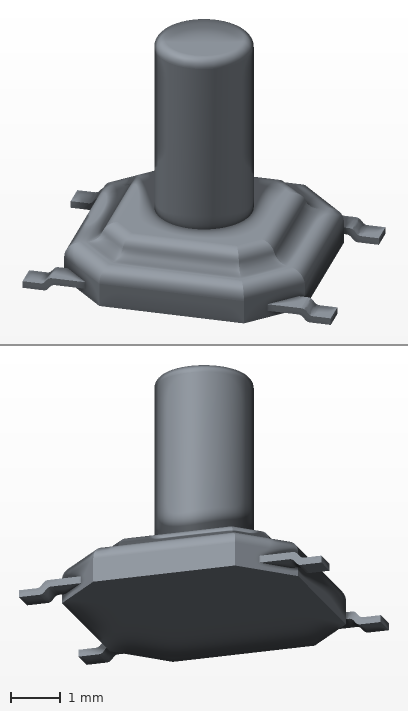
import cadquery as cq
import math

overall_length = 6.4
overall_height = 5.0
housing_width = 5.0
corner_cut = 1.0

wall_height = 0.5
shoulder_height = 0.8
housing_height = 1.2
top_inset = 1.0
arc_radius = 0.3

button_diameter = 2.0
button_edge_radius = 0.2

lead_thickness = 0.15
lead_inner_y = 1.6
lead_outer_y = 2.11
lead_root_x = 1.6
lead_rise = 0.15
foot_length = 0.365
ramp_run = 0.25
underside_shift = 0.065


def stepped_prism(half_width, angle):
    """Long prism with the stepped profile on both flanks, turned about Z."""
    step_half_height = (housing_height - shoulder_height) / 2
    turn = math.acos(1 - step_half_height / arc_radius)
    arc_run = arc_radius * math.sin(turn)
    mid_run = arc_radius * math.sin(turn / 2)
    mid_drop = arc_radius * (1 - math.cos(turn / 2))

    top_x = half_width - top_inset
    joint_x = top_x + arc_run
    step_foot_x = joint_x + arc_run
    joint_z = housing_height - step_half_height
    rim_x = half_width - arc_radius
    rim_mid = arc_radius * math.sin(math.radians(45))
    rim_center_z = shoulder_height - arc_radius

    half_profile = (
        cq.Workplane("XZ")
        .lineTo(half_width, 0)
        .lineTo(half_width, wall_height)
        .threePointArc((rim_x + rim_mid, rim_center_z + rim_mid), (rim_x, shoulder_height))
        .lineTo(step_foot_x, shoulder_height)
        .threePointArc((step_foot_x - mid_run, shoulder_height + mid_drop), (joint_x, joint_z))
        .threePointArc((top_x + mid_run, housing_height - mid_drop), (top_x, housing_height))
        .lineTo(0, housing_height)
        .close()
    )
    half_prism = half_profile.extrude(housing_width, both=True)
    prism = half_prism.union(half_prism.mirror("YZ"))
    return prism.rotate((0, 0, 0), (0, 0, 1), angle)


def make_housing():
    """Octagonal housing: the stepped profile mitred around all eight sides."""
    half_width = housing_width / 2
    diagonal_half_width = (housing_width - corner_cut) / math.sqrt(2)
    housing = stepped_prism(half_width, 0)
    housing = housing.intersect(stepped_prism(half_width, 90))
    for angle in (45, 135):
        housing = housing.intersect(stepped_prism(diagonal_half_width, angle))
    return housing


def make_button():
    return (
        cq.Workplane("XY")
        .workplane(offset=wall_height)
        .circle(button_diameter / 2)
        .extrude(overall_height - wall_height)
        .faces(">Z")
        .edges()
        .fillet(button_edge_radius)
    )


def make_lead():
    """Lead on the +X, +Y corner, sweeping down in a smooth S to a flat foot."""
    tip_x = overall_length / 2
    upper_foot_x = tip_x - foot_length
    upper_ramp_x = upper_foot_x - ramp_run
    lower_foot_x = upper_foot_x - underside_shift
    lower_ramp_x = upper_ramp_x - underside_shift
    lead_top = lead_rise + lead_thickness
    inward = (-1, 0)
    outward = (1, 0)

    return (
        cq.Workplane("XZ", origin=(0, lead_outer_y, 0))
        .moveTo(tip_x, 0)
        .lineTo(tip_x, lead_thickness)
        .lineTo(upper_foot_x, lead_thickness)
        .spline([(upper_ramp_x, lead_top)], tangents=[inward, inward], includeCurrent=True)
        .lineTo(lead_root_x, lead_top)
        .lineTo(lead_root_x, lead_rise)
        .lineTo(lower_ramp_x, lead_rise)
        .spline([(lower_foot_x, 0)], tangents=[outward, outward], includeCurrent=True)
        .close()
        .extrude(lead_outer_y - lead_inner_y)
    )


result = make_housing().union(make_button())
lead = make_lead()
lead_pair = lead.union(lead.mirror("XZ"))
for pair in (lead_pair, lead_pair.mirror("YZ")):
    result = result.union(pair)